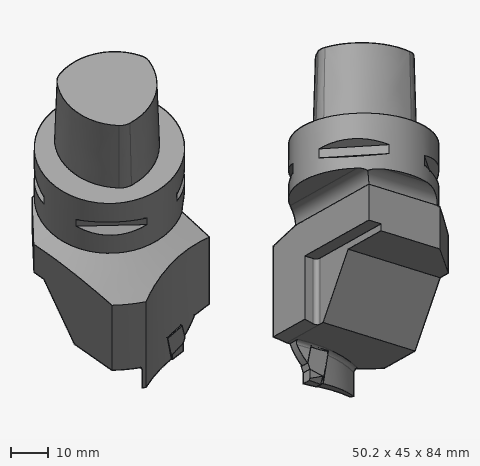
import cadquery as cq
import math


shank_height = 24.0
lobe_reach = 14.9
flank_reach = 13.2
lobe_radius = 5.3
taper_inset = 0.7

flange_radius = 40.0 / 2
flange_bottom = -19.75
relief_top = -16.05
relief_radius = 3.8

groove_z = -10.0
groove_floor = 2.6
groove_mouth = 5.2
groove_depth = 2.35
groove_count = 4

head_left = -15.0
head_back = 9.5
head_front = -25.0
corner_chamfer = 11.0
shoulder_angle = 15.0
shoulder_radius = 50.4
nose = (30.2, -17.9)
nose_start_x = 24.45
nose_bulge = 0.25
side_back_x = 27.55
side_waist = (26.7, 0.4)
head_bottom = -49.6
step_bottom = -32.3
ramp_start_x = -0.4
ramp_end_x = 10.75

pocket_wall_y = 5.5
pocket_top = -30.25
pocket_end_x = 13.4
pocket_fillet = 1.3
rear_bottom = -48.7

blade_inner_x = 24.2
blade_inner_radius = 35.3
blade_front_y = -19.0
blade_rear_y = 4.45
blade_fillet = 1.1
blade_front_bottom = -57.6
blade_seat_y = -4.7
blade_seat_bottom = -59.6
blade_nose = (0.6, -55.1)
blade_flank_mid = (2.6, -52.85)

tip_bottom = -60.0
rake_y = -0.1
insert_inner_x = 24.0
insert_outer_x = 27.05
insert_twist = 0.3
insert_top_y = (-0.6, -6.5)
tip_top = ((rake_y, -56.8), (-4.5, -57.55))
corner_height = 0.5
corner_width = 0.25
facet_clear_x = 22.7


def shank_outline(inset, z):
    """Three tangent lobes and flanks, pulled in evenly by the inset."""
    lobe = lobe_radius - inset
    lobe_centre = lobe_reach - lobe_radius
    reach = flank_reach - inset
    gap = reach - lobe
    offset = (lobe_centre**2 - gap**2) / (2 * gap - lobe_centre)
    flank = reach + offset

    def at(radius, degrees):
        a = math.radians(degrees)
        return cq.Vector(radius * math.cos(a), radius * math.sin(a), z)

    edges = []
    for k in range(3):
        lobe_angle = 90 + 120 * k
        centre = at(lobe_centre, lobe_angle)
        start_pull = (centre - at(offset, lobe_angle + 120)).normalized()
        end_pull = (centre - at(offset, lobe_angle - 120)).normalized()
        lobe_start = centre + start_pull * lobe
        lobe_end = centre + end_pull * lobe
        next_centre = at(lobe_centre, lobe_angle + 120)
        next_pull = (next_centre - at(offset, lobe_angle + 240)).normalized()
        next_start = next_centre + next_pull * lobe
        edges.append(cq.Edge.makeThreePointArc(lobe_start, at(lobe_reach - inset, lobe_angle), lobe_end))
        edges.append(cq.Edge.makeThreePointArc(lobe_end, at(reach, lobe_angle + 60), next_start))
    return cq.Wire.assembleEdges(edges)


def make_shank():
    base = shank_outline(0, 0)
    end = shank_outline(taper_inset, shank_height)
    return cq.Workplane(cq.Solid.makeLoft([base, end], True))


def make_flange():
    flange = cq.Workplane().circle(flange_radius).extrude(flange_bottom)
    for k in range(groove_count):
        angle = 45 + 360 / groove_count * k
        floor = flange_radius - groove_depth
        groove = (
            cq.Workplane("XZ")
            .moveTo(floor, groove_z - groove_floor / 2)
            .lineTo(flange_radius, groove_z - groove_mouth / 2)
            .lineTo(flange_radius, groove_z + groove_mouth / 2)
            .lineTo(floor, groove_z + groove_floor / 2)
            .close()
            .extrude(flange_radius, both=True)
            .rotate((0, 0, 0), (0, 0, 1), angle)
        )
        flange = flange.cut(groove)
    return flange.cut(flange_relief("XZ", head_left, -1)).cut(flange_relief("YZ", head_back, 1))


def flange_relief(plane, wall, outward):
    """Space outside a head wall, rounded where the wall meets the flange."""
    outer = outward * 2 * flange_radius
    arc_centre = wall + outward * relief_radius
    arc_bottom = relief_top - relief_radius
    diagonal = relief_radius * math.sqrt(0.5)
    return (
        cq.Workplane(plane)
        .moveTo(wall, arc_bottom)
        .threePointArc((arc_centre - outward * diagonal, arc_bottom + diagonal), (arc_centre, relief_top))
        .lineTo(outer, relief_top)
        .lineTo(outer, arc_bottom)
        .close()
        .extrude(2 * flange_radius, both=True)
    )


def head_plan(bottom):
    """Outline of the head seen along the axis, extruded down to a depth."""
    bevel_x = nose[0] - nose_start_x
    bevel_y = nose[1] - head_front
    bevel_length = math.hypot(bevel_x, bevel_y)
    bevel_mid = (
        nose_start_x + bevel_x / 2 + nose_bulge * bevel_y / bevel_length,
        head_front + bevel_y / 2 - nose_bulge * bevel_x / bevel_length,
    )
    return (
        cq.Workplane(origin=(0, 0, flange_bottom))
        .moveTo(head_left, head_back)
        .lineTo(head_left, head_front + corner_chamfer)
        .lineTo(head_left + corner_chamfer, head_front)
        .lineTo(nose_start_x, head_front)
        .threePointArc(bevel_mid, nose)
        .threePointArc(side_waist, (side_back_x, head_back))
        .close()
        .extrude(bottom - flange_bottom)
    )


def make_head():
    shoulder_drop = (shoulder_radius - flange_radius) * math.tan(math.radians(shoulder_angle))
    below_shoulder = (
        cq.Workplane("XZ")
        .moveTo(0, flange_bottom)
        .lineTo(flange_radius, flange_bottom)
        .lineTo(shoulder_radius, flange_bottom - shoulder_drop)
        .lineTo(shoulder_radius, tip_bottom)
        .lineTo(0, tip_bottom)
        .close()
        .revolve()
    )
    ramp = (
        cq.Workplane("XZ")
        .moveTo(head_left, step_bottom)
        .lineTo(ramp_start_x, step_bottom)
        .lineTo(ramp_end_x, head_bottom)
        .lineTo(head_left, head_bottom)
        .close()
        .extrude(shoulder_radius, both=True)
    )
    rear_pocket = (
        cq.Workplane(origin=(0, 0, pocket_top))
        .moveTo(head_left, pocket_wall_y)
        .lineTo(pocket_end_x, pocket_wall_y)
        .lineTo(pocket_end_x, head_back)
        .lineTo(head_left, head_back)
        .close()
        .extrude(head_bottom - pocket_top)
        .edges("|Z and >X and <Y")
        .fillet(pocket_fillet)
    )
    rear_slope = (
        cq.Workplane("YZ")
        .moveTo(pocket_wall_y, head_bottom)
        .lineTo(head_back, rear_bottom)
        .lineTo(head_back, head_bottom)
        .close()
        .extrude(shoulder_radius)
    )
    return head_plan(head_bottom).intersect(below_shoulder).cut(ramp).cut(rear_pocket).cut(rear_slope)


def outside_inner_face():
    """Everything on the metal side of the round inner face of the blade, with
    a concave root that flares out to the head."""
    flared_radius = blade_inner_radius + blade_fillet
    root_bottom = head_bottom - blade_fillet
    diagonal = blade_fillet * math.sqrt(0.5)
    return (
        cq.Workplane("XZ", origin=(blade_inner_x + blade_inner_radius, 0, 0))
        .moveTo(0, head_bottom)
        .lineTo(flared_radius, head_bottom)
        .threePointArc((flared_radius - diagonal, root_bottom + diagonal), (blade_inner_radius, root_bottom))
        .lineTo(blade_inner_radius, tip_bottom)
        .lineTo(0, tip_bottom)
        .close()
        .revolve()
    )


def make_blade():
    side_profile = (
        cq.Workplane("YZ")
        .moveTo(blade_front_y, head_bottom)
        .lineTo(blade_front_y, blade_front_bottom)
        .lineTo(blade_seat_y, blade_seat_bottom)
        .lineTo(*blade_nose)
        .threePointArc(blade_flank_mid, (blade_rear_y, head_bottom))
        .close()
        .extrude(shoulder_radius)
    )
    return side_profile.intersect(head_plan(tip_bottom)).intersect(outside_inner_face())


def insert_width():
    """Slightly skewed strip that sets the width of the insert and the tip."""
    front_y = insert_top_y[1]
    back_y = blade_nose[0]
    return (
        cq.Workplane(origin=(0, 0, tip_bottom))
        .moveTo(insert_inner_x, back_y)
        .lineTo(insert_outer_x, back_y)
        .lineTo(insert_outer_x + insert_twist, front_y)
        .lineTo(insert_inner_x + insert_twist, front_y)
        .close()
        .extrude(head_bottom - tip_bottom)
    )


def make_insert_shank():
    profile = (
        cq.Workplane("YZ")
        .moveTo(insert_top_y[0], head_bottom)
        .lineTo(*blade_nose)
        .lineTo(*tip_top[0])
        .lineTo(*tip_top[1])
        .lineTo(tip_top[1][0], blade_seat_bottom)
        .lineTo(blade_seat_y, blade_seat_bottom)
        .lineTo(insert_top_y[1], head_bottom)
        .close()
        .extrude(shoulder_radius)
    )
    return profile.intersect(insert_width())


def make_tip_blank():
    return (
        cq.Workplane("YZ")
        .moveTo(*tip_top[0])
        .lineTo(*tip_top[1])
        .lineTo(tip_top[1][0], blade_seat_bottom)
        .lineTo(rake_y, tip_bottom)
        .close()
        .extrude(shoulder_radius)
        .intersect(insert_width())
    )


def make_corner_facet():
    """Space beside the sloping facet that rises from the cutting edge to the back of the tip."""
    back_y, back_top = tip_top[1]
    skew = insert_twist / (blade_nose[0] - insert_top_y[1])
    edge_x = insert_inner_x + skew * (blade_nose[0] - rake_y)
    back_x = insert_inner_x + skew * (blade_nose[0] - back_y)
    slope = corner_width / corner_height

    def facet_section(y, x, top):
        drop = top - tip_bottom
        points = [
            (x, y, top),
            (x + slope * drop, y, tip_bottom),
            (facet_clear_x, y, tip_bottom),
            (facet_clear_x, y, top),
        ]
        return cq.Wire.makePolygon([cq.Vector(*p) for p in points], close=True)

    edge_section = facet_section(rake_y, edge_x, tip_bottom + corner_height)
    back_section = facet_section(back_y, back_x, back_top)
    return cq.Workplane(cq.Solid.makeLoft([edge_section, back_section], True))


insert_shank = make_insert_shank()
tip_blank = make_tip_blank()
cutting_tip = tip_blank.cut(make_corner_facet())
holder = (
    make_shank()
    .union(make_flange())
    .union(make_head())
    .union(make_blade())
    .cut(insert_shank)
    .cut(tip_blank)
)

result = cq.Compound.makeCompound([holder.val(), insert_shank.val(), cutting_tip.val()])